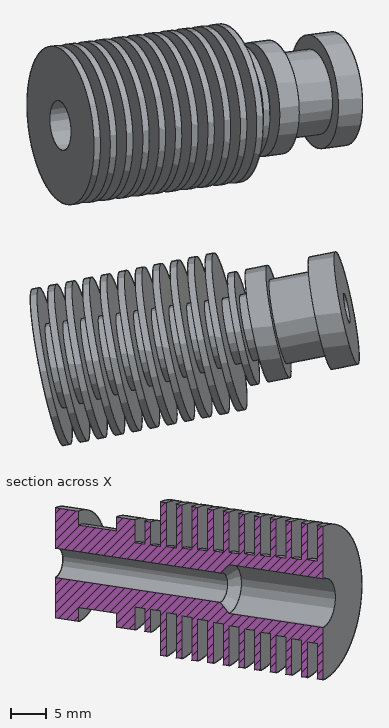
import cadquery as cq

total_length = 42.7
front_y = -total_length / 2
end_flange_length = 3.7
neck_length = 6.0
collar_length = 3.0
fin_thickness = 1.0

fin_diameter = 22.3
flange_diameter = 16.0
neck_diameter = 12.0
core_small_diameter = 9.4
bore_diameter = 7.0
through_hole_diameter = 4.2

wide_fin_count = 11
fin_count = wide_fin_count + 1
finned_length = total_length - end_flange_length - neck_length - collar_length
fin_pitch = finned_length / fin_count

core_step = (neck_diameter - core_small_diameter) / (fin_count - 2)

bore_depth = finned_length / 2
cone_length = (bore_diameter - through_hole_diameter) / 2


def disc(start, length, diameter):
    """Solid cylinder along +Y beginning at the given Y position."""
    axis_start = cq.Vector(0, start, 0)
    axis = cq.Vector(0, 1, 0)
    return cq.Workplane(cq.Solid.makeCylinder(diameter / 2, length, axis_start, axis))


def finned_section():
    """Stepped core with a fin at the -Y end of every step."""
    section = cq.Workplane()
    for index in range(fin_count):
        start = front_y + index * fin_pitch
        core_diameter = max(neck_diameter - index * core_step, core_small_diameter)
        plate_diameter = fin_diameter if index < wide_fin_count else flange_diameter
        section = section.union(disc(start, fin_pitch, core_diameter))
        section = section.union(disc(start, fin_thickness, plate_diameter))
    return section


def mounting_end():
    """Collar, groove neck and end flange at the +Y end."""
    collar_start = front_y + finned_length
    neck_start = collar_start + collar_length
    flange_start = neck_start + neck_length
    collar = disc(collar_start, collar_length, flange_diameter)
    neck = disc(neck_start, neck_length, neck_diameter)
    flange = disc(flange_start, end_flange_length, flange_diameter)
    return collar.union(neck).union(flange)


def stepped_bore():
    """Wide bore from the -Y face, conical bottom, then a hole right through."""
    bore = disc(front_y, bore_depth, bore_diameter)
    cone = cq.Workplane(
        cq.Solid.makeCone(
            bore_diameter / 2,
            through_hole_diameter / 2,
            cone_length,
            cq.Vector(0, front_y + bore_depth, 0),
            cq.Vector(0, 1, 0),
        )
    )
    through_hole = disc(front_y, total_length, through_hole_diameter)
    return bore.union(cone).union(through_hole)


result = finned_section().union(mounting_end()).cut(stepped_bore())